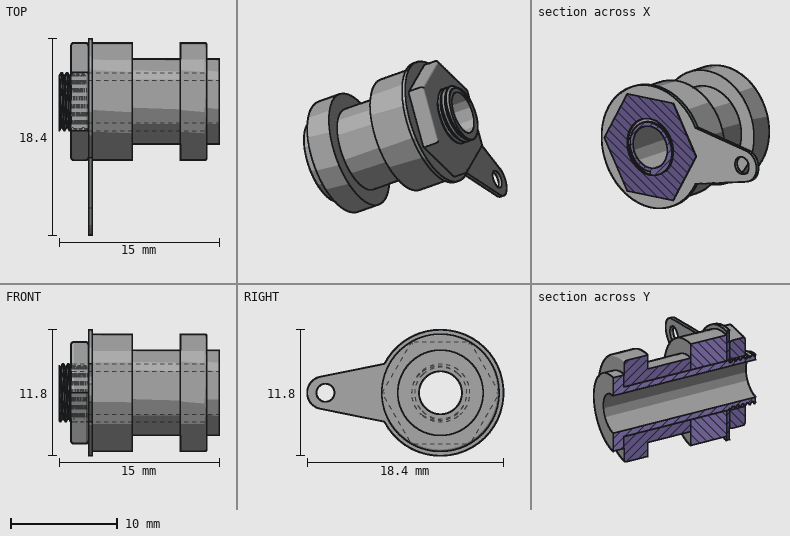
import cadquery as cq
import math


total_length = 15.0
nut_start = 1.1
nut_thickness = 1.65
tag_thickness = 0.35
rear_insulator_thickness = 3.75
neck_length = 4.5
head_thickness = 2.48
tag_start = nut_start + nut_thickness
rear_insulator_start = tag_start + tag_thickness
neck_start = rear_insulator_start + rear_insulator_thickness
head_start = neck_start + neck_length
collar_start = head_start + head_thickness

bore_diameter = 4.0
stem_diameter = 5.43
collar_diameter = 8.0

thread_pitch = 0.5
thread_root_diameter = 4.85
thread_crest_width = thread_pitch / 8
thread_depth = (stem_diameter - thread_root_diameter) / 2
thread_root_overlap = 0.05
thread_base_width = thread_crest_width + 2 * (thread_depth + thread_root_overlap) * math.tan(math.radians(30))
thread_start = -0.39
thread_turns = 6
thread_end = tag_start

nut_across_corners = 11.0
nut_edge_radius = 0.27

insulator_diameter = 11.0
head_edge_radius = 0.23

tag_diameter = 11.83
tag_reach = 12.495
tag_tip_radius = 1.54
tag_arm_root_half_width = 2.72
tag_hole_diameter = 1.67
tag_hole_distance = 10.77


def cylinder(start, length, diameter):
    """Solid cylinder on the X axis."""
    return cq.Workplane("YZ", origin=(start, 0, 0)).circle(diameter / 2).extrude(length)


def make_thread_ridge():
    """Right-hand helical ridge, sunk slightly below the root so that it joins the core."""
    root_radius = thread_root_diameter / 2
    crest_radius = stem_diameter / 2
    inner_radius = root_radius - thread_root_overlap
    helix = cq.Wire.makeHelix(thread_pitch, thread_pitch * thread_turns, root_radius)
    ridge = (
        cq.Workplane("XZ")
        .moveTo(inner_radius, -thread_base_width / 2)
        .lineTo(crest_radius, -thread_crest_width / 2)
        .lineTo(crest_radius, thread_crest_width / 2)
        .lineTo(inner_radius, thread_base_width / 2)
        .close()
        .sweep(cq.Workplane(obj=helix), isFrenet=True)
    )
    return ridge.rotate((0, 0, 0), (0, 1, 0), 90).translate((thread_start, 0, 0))


def make_socket():
    """Metal tube with a threaded stem and a collar that holds the stack together."""
    core_overrun = thread_pitch * 2
    core = cylinder(-core_overrun, thread_end + 2 * core_overrun, thread_root_diameter)
    threaded_rod = core.union(make_thread_ridge())
    threaded_stem = threaded_rod.intersect(cylinder(0, thread_end, collar_diameter))
    plain_stem = cylinder(thread_end, total_length - thread_end, stem_diameter)
    collar = cylinder(collar_start, total_length - collar_start, collar_diameter)
    body = threaded_stem.union(plain_stem).union(collar)
    return body.cut(cylinder(0, total_length, bore_diameter))


def make_nut():
    """Hexagon nut with two corners on the Y axis and the edges of both faces rounded."""
    hexagon = (
        cq.Workplane("YZ", origin=(nut_start, 0, 0))
        .polygon(6, nut_across_corners)
        .extrude(nut_thickness)
        .faces("<X or >X")
        .edges()
        .fillet(nut_edge_radius)
    )
    return hexagon.cut(cylinder(nut_start, nut_thickness, stem_diameter))


def make_solder_tag():
    """Washer with a tapered arm that runs tangent into a rounded tip with a wire hole."""
    disc = cylinder(tag_start, tag_thickness, tag_diameter)
    root_z = tag_arm_root_half_width
    root_y = -math.sqrt((tag_diameter / 2) ** 2 - root_z**2)
    tip_center_y = -(tag_reach - tag_tip_radius)

    distance = math.hypot(root_y - tip_center_y, root_z)
    root_angle = math.atan2(root_z, tip_center_y - root_y)
    tangent_angle = root_angle - math.acos(tag_tip_radius / distance)
    tangent_y = tip_center_y - tag_tip_radius * math.cos(tangent_angle)
    tangent_z = tag_tip_radius * math.sin(tangent_angle)

    arm = (
        cq.Workplane("YZ", origin=(tag_start, 0, 0))
        .moveTo(root_y, -root_z)
        .lineTo(tangent_y, -tangent_z)
        .threePointArc((-tag_reach, 0), (tangent_y, tangent_z))
        .lineTo(root_y, root_z)
        .close()
        .extrude(tag_thickness)
    )
    wire_hole = cylinder(tag_start, tag_thickness, tag_hole_diameter).translate((0, -tag_hole_distance, 0))
    stem_hole = cylinder(tag_start, tag_thickness, stem_diameter)
    return disc.union(arm).cut(wire_hole).cut(stem_hole)


def make_rear_insulator():
    """Plain insulating bush between the tag and the neck."""
    bush = cylinder(rear_insulator_start, rear_insulator_thickness, insulator_diameter)
    stem_hole = cylinder(rear_insulator_start, rear_insulator_thickness, stem_diameter)
    return bush.cut(stem_hole)


def make_front_insulator():
    """Insulating head with a rounded outer edge and a neck that passes through the panel."""
    head = cylinder(head_start, head_thickness, insulator_diameter)
    head = head.faces(">X").edges().fillet(head_edge_radius)
    neck = cylinder(neck_start, neck_length, collar_diameter)
    stem_hole = cylinder(neck_start, neck_length + head_thickness, stem_diameter)
    return head.union(neck).cut(stem_hole)


socket = make_socket()
nut = make_nut()
solder_tag = make_solder_tag()
rear_insulator = make_rear_insulator()
front_insulator = make_front_insulator()

result = cq.Compound.makeCompound(
    [
        *socket.solids().vals(),
        *nut.solids().vals(),
        *solder_tag.solids().vals(),
        *rear_insulator.solids().vals(),
        *front_insulator.solids().vals(),
    ]
)